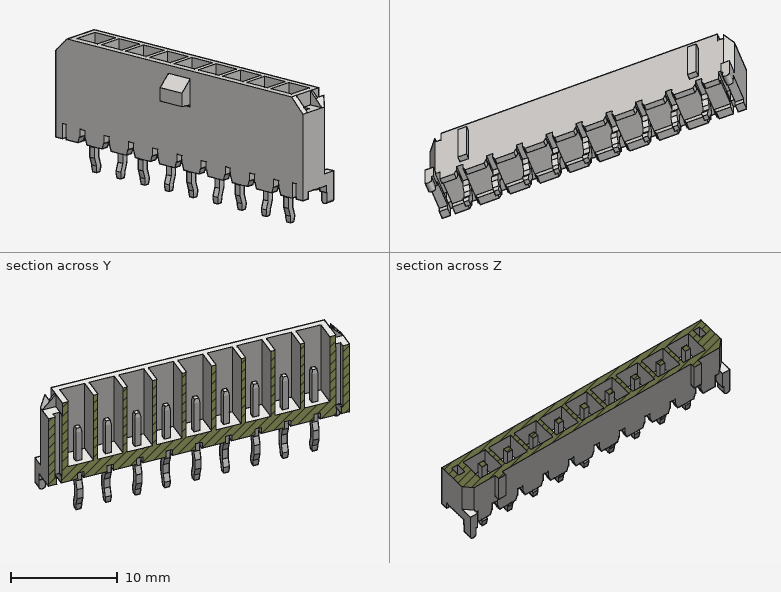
import cadquery as cq


length = 30.65
depth = 3.9
height = 9.9
corner_slope = 1.4
half_length = length / 2

pin_count = 9
pitch = 3.0
pin_size = 0.6
pin_y = 2.0
pin_x = [(i - (pin_count - 1) / 2) * pitch for i in range(pin_count)]

pin_top = 6.13
contact_taper = 0.45
contact_tip_size = 0.43
bend_start = 0.18
bulge_top = -0.65
bulge_bottom = -1.7
bend_end = -2.5
solder_taper_start = -2.7
pin_bottom = -3.2
solder_tip_size = 0.5
bulge = 0.28

socket_size = 2.55
socket_floor = 2.45

channel_front = 0.77
channel_back = 3.37
channel_height = 0.7
notch_height = 1.38
notch_flare_height = 0.58
notch_flare_top = 0.75
notch_flare_bottom = 1.1

corner_cut = 0.8
corner_cut_bottom = 1.93
pocket_front = 0.67
pocket_back = 2.7
rear_notch_front = 2.95
well_start = 0.7
well_end = 1.38
well_back = 1.72
slot_start = 0.85
slot_end = 1.32
slot_height = 1.5

rib_reach = 0.52
rear_y = depth + rib_reach
rib_width = 0.9
rib_x = 11.55
rib_bottom = 2.18
rib_top = 8.18
peg_width = 0.67
peg_front = 3.43
peg_length = 1.13

latch_width = 2.7
latch_reach = 1.15
latch_top = 9.1
latch_edge = 7.97
latch_bottom = 6.65
latch_root = 0.1
latch_root_top = 6.55
latch_root_bottom = 6.35


def box(x0, x1, y0, y1, z0, z1):
    """Box between two opposite corners."""
    return cq.Workplane("XY").box(x1 - x0, y1 - y0, z1 - z0, centered=False).translate((x0, y0, z0))


def both_ends(solid):
    """The solid at the -X end together with its mirror image at the +X end."""
    return solid.union(solid.mirror("YZ"))


def end_box(inset0, inset1, y0, y1, z0, z1):
    """Pair of boxes, one at each end, placed by distance from the end faces."""
    return both_ends(box(-half_length + inset0, -half_length + inset1, y0, y1, z0, z1))


def make_shell():
    """Block with sloped upper corners and chamfered rear corners."""
    shell = (
        cq.Workplane("XZ")
        .moveTo(-half_length, 0)
        .lineTo(-half_length, height - corner_slope)
        .lineTo(-half_length + corner_slope, height)
        .lineTo(half_length - corner_slope, height)
        .lineTo(half_length, height - corner_slope)
        .lineTo(half_length, 0)
        .close()
        .extrude(-depth)
    )
    corner = (
        cq.Workplane("XY", origin=(0, 0, corner_cut_bottom))
        .moveTo(-half_length, depth)
        .lineTo(-half_length + corner_cut, depth)
        .lineTo(-half_length, depth - corner_cut)
        .close()
        .extrude(height)
    )
    return shell.cut(both_ends(corner))


def make_end_cuts():
    """Upper pocket, rear notch, well and bottom slot at each end."""
    pocket_floor = height - corner_slope
    pocket = end_box(0, corner_slope, pocket_front, pocket_back, pocket_floor, height)
    rear_notch = end_box(corner_cut, corner_slope, rear_notch_front, depth, pocket_floor, height)
    well = end_box(well_start, well_end, pocket_front, well_back, slot_height, pocket_floor)
    slot = end_box(slot_start, slot_end, 0, depth, 0, slot_height)
    return pocket.union(rear_notch).union(well).union(slot)


def make_notch(x):
    """Flared notch across the underside, narrowing to the pin width."""
    slot = box(x - pin_size / 2, x + pin_size / 2, 0, depth, 0, notch_height)
    flare = (
        cq.Workplane("XZ")
        .moveTo(x - notch_flare_bottom / 2, 0)
        .lineTo(x - notch_flare_top / 2, notch_flare_height)
        .lineTo(x + notch_flare_top / 2, notch_flare_height)
        .lineTo(x + notch_flare_bottom / 2, 0)
        .close()
        .extrude(-depth)
    )
    return slot.union(flare)


def make_socket(x):
    """Square socket open at the top."""
    half = socket_size / 2
    return box(x - half, x + half, pin_y - half, pin_y + half, socket_floor, height)


def tapered_tip(x, z, end_size, end_z):
    """Square tip narrowing from the pin section at z to end_size at end_z."""
    return (
        cq.Workplane("XY", origin=(x, pin_y, z))
        .rect(pin_size, pin_size)
        .workplane(offset=end_z - z)
        .rect(end_size, end_size)
        .loft()
    )


def make_pin(x, side):
    """Pin whose solder tail bows towards +Y (side = 1) or -Y (side = -1)."""
    centre_line = [
        (pin_y, pin_top - contact_taper),
        (pin_y, bend_start),
        (pin_y + side * bulge, bulge_top),
        (pin_y + side * bulge, bulge_bottom),
        (pin_y, bend_end),
        (pin_y, solder_taper_start),
    ]
    half = pin_size / 2
    front_edge = [(y - half, z) for y, z in centre_line]
    back_edge = [(y + half, z) for y, z in reversed(centre_line)]
    shank = (
        cq.Workplane("YZ", origin=(x - half, 0, 0))
        .polyline(front_edge + back_edge)
        .close()
        .extrude(pin_size)
    )
    contact_tip = tapered_tip(x, pin_top - contact_taper, contact_tip_size, pin_top)
    solder_tip = tapered_tip(x, solder_taper_start, solder_tip_size, pin_bottom)
    return shank.union(contact_tip).union(solder_tip)


def make_feet():
    """Rear foot block at each end with a round-ended locating peg below it."""
    blocks = end_box(0, slot_start, channel_back, rear_y, 0, corner_cut_bottom)
    radius = peg_width / 2
    peg = (
        cq.Workplane("XZ", origin=(0, peg_front, 0))
        .moveTo(-half_length, 0)
        .lineTo(-half_length, -peg_length + radius)
        .threePointArc(
            (-half_length + radius, -peg_length),
            (-half_length + peg_width, -peg_length + radius),
        )
        .lineTo(-half_length + peg_width, 0)
        .close()
        .extrude(peg_front - rear_y)
    )
    return blocks.union(both_ends(peg))


def make_ribs():
    """Pair of upright ribs on the rear face."""
    return both_ends(
        box(-rib_x - rib_width / 2, -rib_x + rib_width / 2, depth, rear_y, rib_bottom, rib_top)
    )


def make_latch():
    """Ramped latch on the front face with a small flare at the root of its underside."""
    return (
        cq.Workplane("YZ", origin=(-latch_width / 2, 0, 0))
        .moveTo(0, latch_top)
        .lineTo(-latch_reach, latch_edge)
        .lineTo(-latch_reach, latch_bottom)
        .lineTo(-latch_root, latch_root_top)
        .lineTo(0, latch_root_bottom)
        .close()
        .extrude(latch_width)
    )


def make_channel():
    """Channel along the whole underside."""
    return box(-half_length, half_length, channel_front, channel_back, 0, channel_height)


result = make_shell().union(make_feet()).union(make_ribs()).union(make_latch())
result = result.cut(make_end_cuts()).cut(make_channel())
for x in pin_x:
    result = result.cut(make_notch(x)).cut(make_socket(x))
for i, x in enumerate(pin_x):
    result = result.union(make_pin(x, 1 if i % 2 else -1))